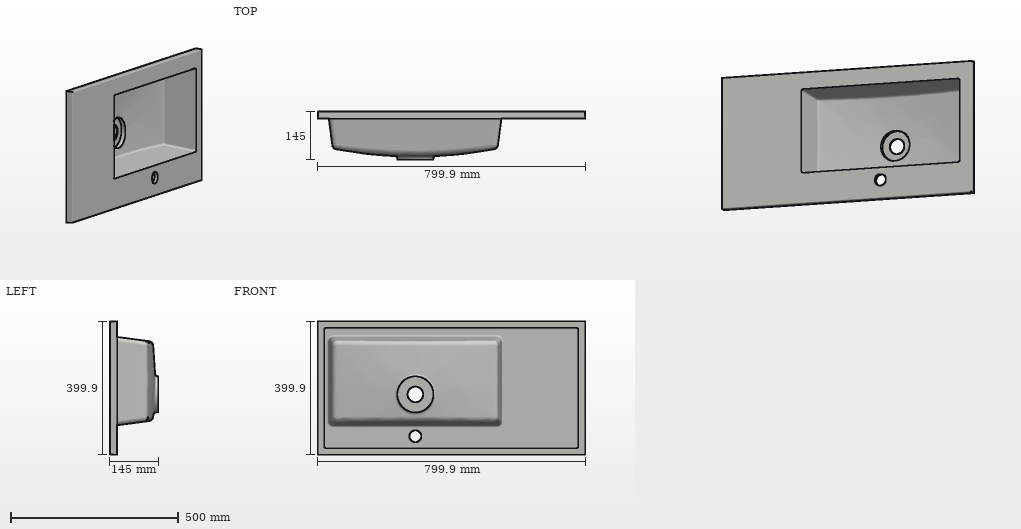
import cadquery as cq
import math


PLATE_LENGTH = 799.92
PLATE_HEIGHT = 399.92
PLATE_DEPTH = 22.0
PLATE_DRAFT = 3.0
FRONT_EDGE_RADIUS = 2.0

RIM_WIDTH = 20.0
RIM_WIDTH_RIGHT = 21.5
FLOOR_DEPTH = 12.0
RECESS_CORNER_RADIUS = 5.0
RECESS_FLOOR_RADIUS = 5.0

BOWL_LENGTH = 519.0
BOWL_HEIGHT = 267.0
BOWL_X = -108.8
BOWL_Z = 20.7
BOWL_SIDE_DRAFT = 7.5
BOWL_CORNER_RADIUS = 15.0
BOWL_BACK_RADIUS = 15.0
BOWL_ROOT_RADIUS = 5.0
WALL = 8.0

BACK_DEPTH = 109.0
BACK_SAG = 18.0
BACK_CROWN = 9.0

TOTAL_DEPTH = 145.0
DRAIN_X = -108.0
DRAIN_Z = -19.0
DRAIN_RADIUS = 23.0
DRAIN_FLOOR = 5.0
BOSS_RADIUS = 54.0
BOSS_ROOT_RADIUS = 8.0
TAP_HOLE_Z = -144.0
TAP_HOLE_RADIUS = 17.5

SELECT_MARGIN = 1.0


def at_depth(depth, x=0.0, z=0.0):
    """Workplane parallel to the plate whose normal points toward -Y."""
    return cq.Workplane("XZ", origin=(x, -depth, z))


def edge_box(x, z, length, height, near_depth, far_depth):
    """Selector for edges that lie wholly inside a box centred on (x, z)."""
    half_length = length / 2 + SELECT_MARGIN
    half_height = height / 2 + SELECT_MARGIN
    return cq.selectors.BoxSelector(
        (x - half_length, -far_depth, z - half_height),
        (x + half_length, -near_depth, z + half_height),
        boundingbox=True,
    )


def make_plate():
    plate = (
        at_depth(PLATE_DEPTH)
        .rect(PLATE_LENGTH, PLATE_HEIGHT)
        .extrude(-PLATE_DEPTH, taper=PLATE_DRAFT)
        .faces(">Y")
        .edges()
        .fillet(FRONT_EDGE_RADIUS)
    )
    recess_length = PLATE_LENGTH - RIM_WIDTH - RIM_WIDTH_RIGHT
    recess_height = PLATE_HEIGHT - 2 * RIM_WIDTH
    recess = (
        at_depth(FLOOR_DEPTH, x=(RIM_WIDTH - RIM_WIDTH_RIGHT) / 2)
        .rect(recess_length, recess_height)
        .extrude(PLATE_DEPTH - FLOOR_DEPTH)
        .edges("|Y")
        .fillet(RECESS_CORNER_RADIUS)
        .faces(">Y")
        .edges()
        .fillet(RECESS_FLOOR_RADIUS)
    )
    return plate.cut(recess)


def crowned_section(x, back_depth, crown):
    """YZ outline at x: straight sides and a back that bulges by crown at mid height."""
    top = BOWL_Z + BOWL_HEIGHT / 2
    bottom = BOWL_Z - BOWL_HEIGHT / 2
    front_bottom = cq.Vector(x, 0, bottom)
    back_bottom = cq.Vector(x, -back_depth, bottom)
    back_middle = cq.Vector(x, -back_depth - crown, BOWL_Z)
    back_top = cq.Vector(x, -back_depth, top)
    front_top = cq.Vector(x, 0, top)
    return cq.Wire.assembleEdges(
        [
            cq.Edge.makeLine(front_bottom, back_bottom),
            cq.Edge.makeSpline([back_bottom, back_middle, back_top]),
            cq.Edge.makeLine(back_top, front_top),
            cq.Edge.makeLine(front_top, front_bottom),
        ]
    )


def crowned_block(inset):
    """Block ending in the bulged bowl back, the back moved toward +Y by inset."""
    end_depth = BACK_DEPTH - inset
    sections = [
        crowned_section(BOWL_X - BOWL_LENGTH / 2, end_depth, 0),
        crowned_section(BOWL_X, end_depth + BACK_SAG, BACK_CROWN),
        crowned_section(BOWL_X + BOWL_LENGTH / 2, end_depth, 0),
    ]
    return cq.Workplane(obj=cq.Solid.makeLoft(sections))


def bowl_body(inset):
    """Drafted bowl shape running from the show face to the bowl back, shrunk all around by inset."""
    growth = FLOOR_DEPTH * math.tan(math.radians(BOWL_SIDE_DRAFT))
    size_change = 2 * (growth - inset)
    drafted = (
        at_depth(0, BOWL_X, BOWL_Z)
        .rect(BOWL_LENGTH + size_change, BOWL_HEIGHT + size_change)
        .extrude(TOTAL_DEPTH, taper=BOWL_SIDE_DRAFT)
    )
    body = drafted.intersect(crowned_block(inset))
    corner_edges = body.edges("%LINE").edges("not #Y")
    body = corner_edges.fillet(BOWL_CORNER_RADIUS - inset)
    return body.faces("<Y").edges().fillet(BOWL_BACK_RADIUS - inset)


def add_bowl(plate):
    """Join the outer bowl to the plate and round the corner where they meet."""
    behind_plate_middle = (
        at_depth(FLOOR_DEPTH / 2)
        .rect(PLATE_LENGTH, PLATE_HEIGHT)
        .extrude(TOTAL_DEPTH)
    )
    joined = plate.union(bowl_body(0).intersect(behind_plate_middle))
    root = edge_box(
        BOWL_X,
        BOWL_Z,
        BOWL_LENGTH,
        BOWL_HEIGHT,
        FLOOR_DEPTH - SELECT_MARGIN,
        FLOOR_DEPTH + SELECT_MARGIN,
    )
    return joined.edges(root).fillet(BOWL_ROOT_RADIUS)


def add_boss(basin):
    """Add the round drain boss and blend it into the bowl back."""
    boss = (
        at_depth(BACK_DEPTH, DRAIN_X, DRAIN_Z)
        .circle(BOSS_RADIUS)
        .extrude(TOTAL_DEPTH - BACK_DEPTH)
    )
    root = edge_box(
        DRAIN_X,
        DRAIN_Z,
        2 * BOSS_RADIUS,
        2 * BOSS_RADIUS,
        BACK_DEPTH,
        TOTAL_DEPTH - SELECT_MARGIN,
    )
    return basin.union(boss).edges(root).fillet(BOSS_ROOT_RADIUS)


def round_cut(radius, z, end_depth):
    """Cylinder in line with the drain, from the show face to end_depth."""
    return at_depth(0, DRAIN_X, z).circle(radius).extrude(end_depth)


basin = add_boss(add_bowl(make_plate()))
basin = basin.cut(bowl_body(WALL))
basin = basin.cut(round_cut(BOSS_RADIUS - WALL, DRAIN_Z, TOTAL_DEPTH - DRAIN_FLOOR))
basin = basin.cut(round_cut(DRAIN_RADIUS, DRAIN_Z, TOTAL_DEPTH))
result = basin.cut(round_cut(TAP_HOLE_RADIUS, TAP_HOLE_Z, TOTAL_DEPTH))